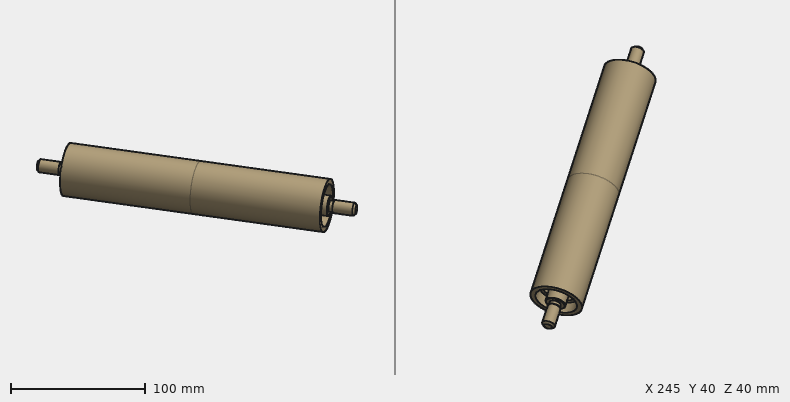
import cadquery as cq

shaft_length = 245.0
tube_length = 200.0

tube_diameter = 40.0
counterbore_diameter = 32.0
counterbore_depth = 8.8
bore_diameter = 26.0

core_diameter = 15.5
core_chamfer = 0.5
core_inset = 20.0
neck_diameter = 8.8
journal_diameter = 10.0
journal_length = 17.2
tip_diameter = 6.5
tip_length = 1.7


def make_cylinder(diameter, length):
    """Cylinder along X, centred on the origin."""
    return cq.Workplane("YZ").circle(diameter / 2).extrude(length / 2, both=True)


def make_tube():
    """Roller tube with a through bore and a counterbore in each end."""
    tube = make_cylinder(tube_diameter, tube_length)
    tube = tube.cut(make_cylinder(bore_diameter, tube_length))
    for end_face in ("<X", ">X"):
        counterbore = (
            tube.faces(end_face)
            .workplane(centerOption="CenterOfBoundBox")
            .circle(counterbore_diameter / 2)
            .extrude(-counterbore_depth, combine=False)
        )
        tube = tube.cut(counterbore)
    return tube


def make_shaft():
    """Stepped shaft, revolved from half of its lengthwise profile and mirrored."""
    end_x = shaft_length / 2
    journal_x = end_x - journal_length
    core_end_x = end_x - core_inset
    half_profile = [
        (0, 0),
        (0, core_diameter / 2),
        (core_end_x - core_chamfer, core_diameter / 2),
        (core_end_x, core_diameter / 2 - core_chamfer),
        (core_end_x, neck_diameter / 2),
        (journal_x, neck_diameter / 2),
        (journal_x, journal_diameter / 2),
        (end_x - tip_length, journal_diameter / 2),
        (end_x, tip_diameter / 2),
        (end_x, 0),
    ]
    half = cq.Workplane("XY").polyline(half_profile).close().revolve(360, (0, 0, 0), (1, 0, 0))
    return half.union(half.mirror("YZ"))


tube = make_tube()
shaft = make_shaft()

result = cq.Compound.makeCompound([tube.val(), shaft.val()])